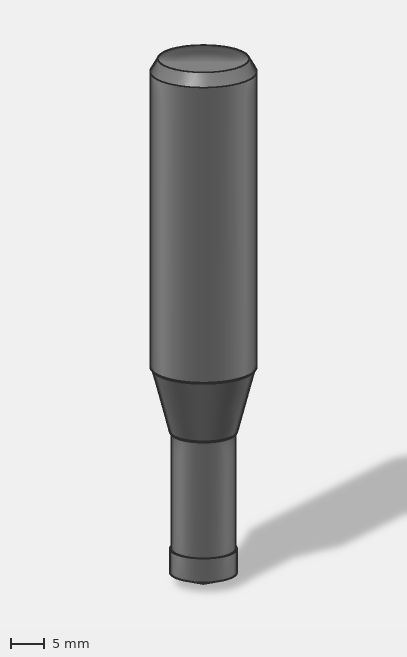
import cadquery as cq
import math

overall_length = 81.81
shank_diameter = 15.875

head_diameter = 10.0
head_edge_length = 3.7
point_angle = 140.0

neck_diameter = 9.6
neck_length = 18.0
taper_length = 10.35
taper_half_angle = 15.0
taper_small_diameter = 10.1
taper_edge_height = 0.3

chamfer_height = 2.0
chamfer_angle = 30.0

shank_radius = shank_diameter / 2
head_radius = head_diameter / 2
neck_radius = neck_diameter / 2
taper_small_radius = taper_small_diameter / 2
taper_run = taper_length - 2 * taper_edge_height
taper_large_radius = taper_small_radius + taper_run * math.tan(math.radians(taper_half_angle))
chamfer_width = chamfer_height * math.tan(math.radians(chamfer_angle))

point_height = head_radius / math.tan(math.radians(point_angle / 2))
head_top = point_height + head_edge_length
neck_top = head_top + neck_length
shank_bottom = neck_top + taper_length
chamfer_bottom = overall_length - chamfer_height


def revolve_profile(points):
    """Turn a (radius, height) outline about the Z axis into a solid."""
    axis_start = (0, 0)
    axis_end = (0, 1)
    return cq.Workplane("XZ").polyline(points).close().revolve(360, axis_start, axis_end)


def make_cutting_head():
    """Cylindrical cutting head ending in a conical point."""
    return revolve_profile([
        (0, 0),
        (head_radius, point_height),
        (head_radius, head_top),
        (0, head_top),
    ])


def make_holder():
    """Neck, taper with a small bevel at each end, and chamfered shank."""
    return revolve_profile([
        (0, head_top),
        (neck_radius, head_top),
        (neck_radius, neck_top),
        (taper_small_radius, neck_top + taper_edge_height),
        (taper_large_radius, shank_bottom - taper_edge_height),
        (shank_radius, shank_bottom),
        (shank_radius, chamfer_bottom),
        (shank_radius - chamfer_width, overall_length),
        (0, overall_length),
    ])


cutting_head = make_cutting_head()
holder = make_holder()

result = cq.Compound.makeCompound([cutting_head.val(), holder.val()])